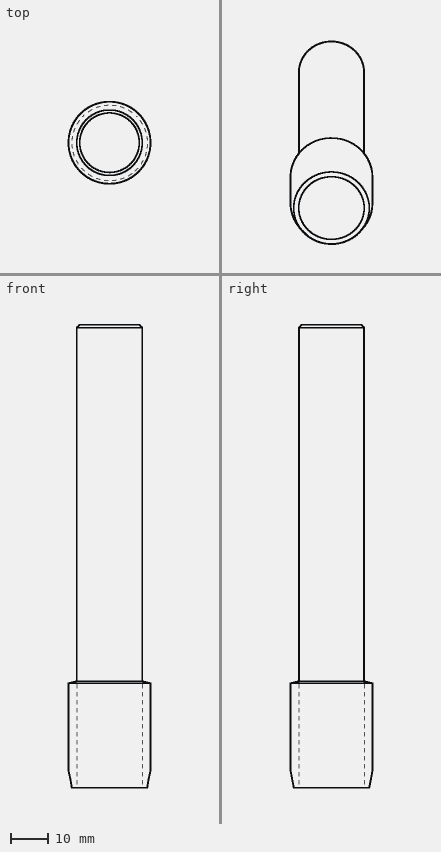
import cadquery as cq
import math

total_length = 125.0
sleeve_diameter = 22.225
rod_diameter = 17.69

rod_chamfer = 0.8

sleeve_height = 28.8
shoulder_angle = 15.0
lead_in_height = 4.65
lead_in_angle = 11.0

sleeve_radius = sleeve_diameter / 2
rod_radius = rod_diameter / 2
shoulder_drop = (sleeve_radius - rod_radius) * math.tan(math.radians(shoulder_angle))
lead_in_depth = lead_in_height * math.tan(math.radians(lead_in_angle))


def revolve_profile(points):
    """Turn a closed outline of (distance from the axis, height) points about the Z axis."""
    outline = cq.Workplane("YZ").polyline([(-radius, height) for radius, height in points]).close()
    return outline.revolve(360, (0, 0, 0), (0, 1, 0))


def make_rod():
    """Straight round rod with a chamfered upper end."""
    return revolve_profile([
        (0, 0),
        (rod_radius, 0),
        (rod_radius, total_length - rod_chamfer),
        (rod_radius - rod_chamfer, total_length),
        (0, total_length),
    ])


def make_sleeve():
    """Sleeve around the foot of the rod: tapered lead-in below, shallow conical shoulder above."""
    return revolve_profile([
        (rod_radius, 0),
        (sleeve_radius - lead_in_depth, 0),
        (sleeve_radius, lead_in_height),
        (sleeve_radius, sleeve_height - shoulder_drop),
        (rod_radius, sleeve_height),
    ])


rod = make_rod()
sleeve = make_sleeve()

result = cq.Compound.makeCompound([rod.val(), sleeve.val()])